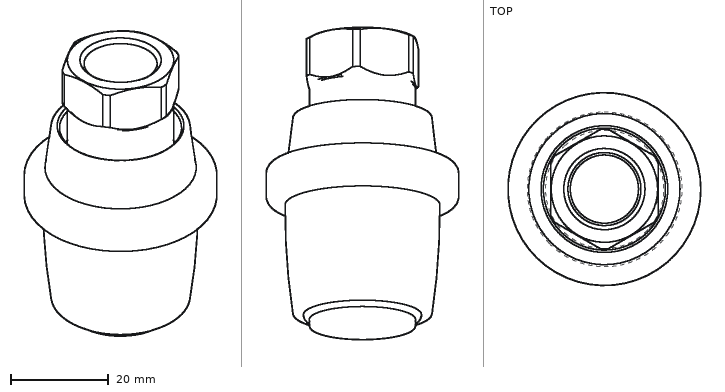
import cadquery as cq
import math

total_height = 60.5
hex_height = 10.0
rim_z = 44.45
flange_top_z = 34.25
flange_bottom_z = 25.7
body_bottom_z = 2.55
collar_height = 1.0

stem_radius = 21.8 / 2
hex_across_flats = 21.95
hex_corner_radius = 24.5 / 2
hex_top_face_radius = 10.9
hex_top_chamfer_angle = 30.0
hex_root_fillet = 0.5
stem_end_round = 0.3

bore_radius = 14.95 / 2
bore_mouth_chamfer = 0.85
bore_floor_chamfer = 0.5
bore_depth = 19.95

rim_radius = 14.2
neck_taper_angle = 7.0
body_edge_round = 0.5
flange_radius = 39.5 / 2
flange_round = 2.0
barrel_top_radius = 15.85
barrel_mid_radius = 15.5
barrel_end_radius = 14.2
collar_radius = 12.1

recess_radius = 25.0 / 2
recess_wall_depth = 7.6
recess_mouth_chamfer = 0.5


def disc(radius, bottom_z, top_z):
    return cq.Workplane("XY").workplane(offset=bottom_z).circle(radius).extrude(top_z - bottom_z)


def revolve_about_z(outline):
    return outline.close().revolve(360, (0, 0, 0), (0, 1, 0))


def make_neck():
    base_radius = rim_radius + (rim_z - flange_top_z) * math.tan(math.radians(neck_taper_angle))
    outline = (
        cq.Workplane("XZ")
        .moveTo(0, flange_top_z)
        .lineTo(base_radius, flange_top_z)
        .lineTo(rim_radius, rim_z)
        .lineTo(0, rim_z)
    )
    return revolve_about_z(outline).faces(">Z").edges().fillet(body_edge_round)


def make_flange():
    flange = disc(flange_radius, flange_bottom_z, flange_top_z)
    return flange.faces(">Z or <Z").edges().fillet(flange_round)


def make_barrel():
    """Barrel with one bulging side that narrows towards its rounded lower end."""
    mid_z = (flange_bottom_z + body_bottom_z) / 2
    outline = (
        cq.Workplane("XZ")
        .moveTo(0, body_bottom_z)
        .lineTo(barrel_end_radius, body_bottom_z)
        .threePointArc((barrel_mid_radius, mid_z), (barrel_top_radius, flange_bottom_z))
        .lineTo(0, flange_bottom_z)
    )
    return revolve_about_z(outline).faces("<Z").edges().fillet(body_edge_round)


def make_collar():
    """Rounded collar under the barrel; its round takes up the whole collar height."""
    collar_bottom_z = body_bottom_z - collar_height
    outline = (
        cq.Workplane("XZ")
        .moveTo(0, collar_bottom_z)
        .lineTo(collar_radius - collar_height, collar_bottom_z)
        .radiusArc((collar_radius, body_bottom_z), -collar_height)
        .lineTo(0, body_bottom_z)
    )
    return revolve_about_z(outline)


def make_recess():
    """Ring-shaped pocket with a 45 degree floor that runs down to the stem."""
    floor_z = rim_z - recess_wall_depth
    floor_drop = recess_radius - stem_radius
    outline = (
        cq.Workplane("XZ")
        .moveTo(stem_radius, floor_z - floor_drop)
        .lineTo(recess_radius, floor_z)
        .lineTo(recess_radius, rim_z - recess_mouth_chamfer)
        .lineTo(recess_radius + recess_mouth_chamfer, rim_z)
        .lineTo(stem_radius, rim_z)
    )
    return revolve_about_z(outline)


def make_stem():
    stem = disc(stem_radius, 0, total_height - hex_height)
    return stem.faces("<Z").edges().fillet(stem_end_round)


def make_hex_head():
    """Hexagon with corners on +Y and -Y, trimmed by a turned envelope."""
    root_z = total_height - hex_height
    top_chamfer_width = hex_corner_radius - hex_top_face_radius
    corner_drop = top_chamfer_width * math.tan(math.radians(hex_top_chamfer_angle))
    underside_angle = math.radians(45)
    tangent_length = hex_root_fillet * math.tan(underside_angle / 2)
    tangent_offset = tangent_length * math.sin(underside_angle)
    fillet_bottom_z = root_z - tangent_length
    envelope = revolve_about_z(
        cq.Workplane("XZ")
        .moveTo(0, fillet_bottom_z)
        .lineTo(stem_radius, fillet_bottom_z)
        .radiusArc((stem_radius + tangent_offset, root_z + tangent_offset), hex_root_fillet)
        .lineTo(hex_corner_radius, root_z + hex_corner_radius - stem_radius)
        .lineTo(hex_corner_radius, total_height - corner_drop)
        .lineTo(hex_top_face_radius, total_height)
        .lineTo(0, total_height)
    )
    corner_diameter = hex_across_flats / math.cos(math.radians(30))
    prism = (
        cq.Workplane("XY")
        .workplane(offset=fillet_bottom_z)
        .transformed(rotate=(0, 0, 30))
        .polygon(6, corner_diameter)
        .extrude(total_height - fillet_bottom_z)
    )
    return prism.intersect(envelope)


def make_bore():
    floor_z = total_height - bore_depth
    outline = (
        cq.Workplane("XZ")
        .moveTo(0, floor_z)
        .lineTo(bore_radius - bore_floor_chamfer, floor_z)
        .lineTo(bore_radius, floor_z + bore_floor_chamfer)
        .lineTo(bore_radius, total_height - bore_mouth_chamfer)
        .lineTo(bore_radius + bore_mouth_chamfer, total_height)
        .lineTo(0, total_height)
    )
    return revolve_about_z(outline)


body = make_neck().union(make_flange()).union(make_barrel()).union(make_collar())
body = body.cut(make_recess())
result = body.union(make_stem()).union(make_hex_head()).cut(make_bore())